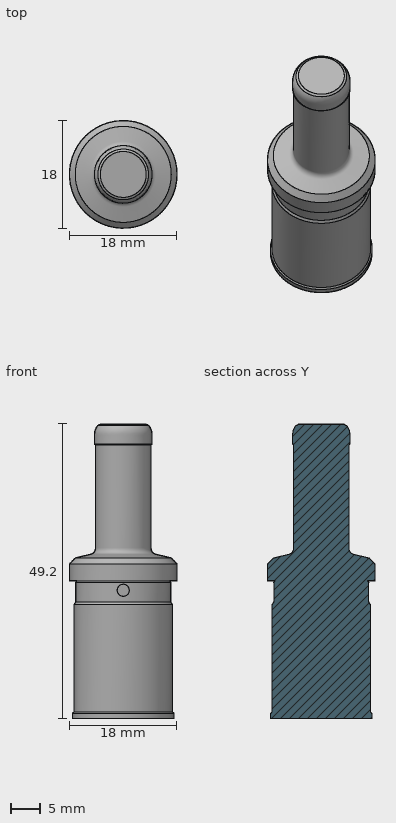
import cadquery as cq
import math

base_radius = 8.5
body_radius = 8.25
neck_radius = 7.95
collar_radius = 9.0
shoulder_radius = 8.0
rod_radius = 4.65
band_radius = 4.8
crown_radius = 4.25
tip_radius = 3.85

base_top = 0.9
body_top = 19.05
collar_bottom = 23.05
collar_top = 25.85
shoulder_top = 26.85
band_bottom = 45.7
band_top = 47.4
overall_height = 49.2

base_chamfer = base_radius - body_radius
neck_taper_height = 0.45
neck_lip = 0.25
band_bevel = band_radius - rod_radius
tip_chamfer_height = 0.2
crown_bulge = 0.17

fillet_radius = 1.0
cone_angle = math.radians(13.5)
fillet_center_radius = rod_radius + fillet_radius
cone_inner_radius = fillet_center_radius - fillet_radius * math.sin(cone_angle)
cone_top = shoulder_top + (shoulder_radius - cone_inner_radius) * math.tan(cone_angle)
fillet_center_height = cone_top + fillet_radius * math.cos(cone_angle)
fillet_mid_angle = (math.pi / 2 - cone_angle) / 2
fillet_mid = (
    fillet_center_radius - fillet_radius * math.cos(fillet_mid_angle),
    fillet_center_height - fillet_radius * math.sin(fillet_mid_angle),
)

hole_diameter = 2.0
hole_height = 21.45
hole_depth = 1.95


def turned_body():
    """Revolve the half outline about the Z axis."""
    crown_bottom = (band_radius, band_top)
    crown_top = (crown_radius, overall_height - tip_chamfer_height)
    outline = (
        cq.Workplane("XZ")
        .moveTo(0, 0)
        .lineTo(base_radius, 0)
        .lineTo(base_radius, base_top)
        .lineTo(body_radius, base_top + base_chamfer)
        .lineTo(body_radius, body_top)
        .lineTo(neck_radius, body_top + neck_taper_height)
        .lineTo(neck_radius, collar_bottom - neck_lip)
        .lineTo(neck_radius - neck_lip, collar_bottom)
        .lineTo(collar_radius, collar_bottom)
        .lineTo(collar_radius, collar_top)
        .lineTo(shoulder_radius, shoulder_top)
        .lineTo(cone_inner_radius, cone_top)
        .threePointArc(fillet_mid, (rod_radius, fillet_center_height))
        .lineTo(rod_radius, band_bottom)
        .lineTo(band_radius, band_bottom + band_bevel)
        .lineTo(*crown_bottom)
        .sagittaArc(crown_top, -crown_bulge)
        .lineTo(tip_radius, overall_height)
        .lineTo(0, overall_height)
        .close()
    )
    return outline.revolve(360, (0, 0, 0), (0, 1, 0))


def neck_hole():
    """Cylinder entering the neck from -Y."""
    return (
        cq.Workplane("XZ", origin=(0, -neck_radius + hole_depth, hole_height))
        .circle(hole_diameter / 2)
        .extrude(collar_radius)
    )


result = turned_body().cut(neck_hole())